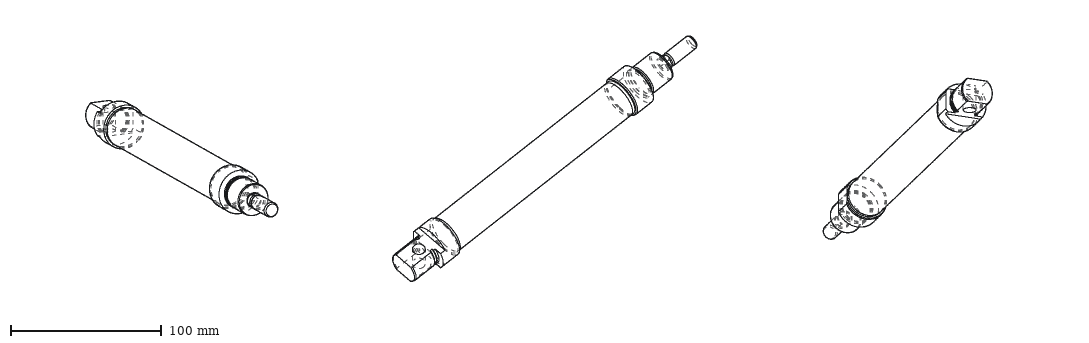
import cadquery as cq

TOTAL_LENGTH = 265.0
REAR_CAP_FACE = 22.0
REAR_CAP_BACK = 37.0
BARREL_START = 39.2
BARREL_END = 197.2
FRONT_CAP_BACK = 199.3
FRONT_CAP_FACE = 215.0
NOSE_END = 237.0
LIP_END = 238.0

BARREL_DIAMETER = 26.8
BARREL_RADIUS = BARREL_DIAMETER / 2
CAP_DIAMETER = 30.0
CAP_RADIUS = CAP_DIAMETER / 2
OVERALL_WIDTH = 28.5
CAP_FLAT_Y = OVERALL_WIDTH - CAP_RADIUS

CHAMFER_LENGTH = 1.0
CHAMFER_DEPTH = 0.4

NECK_DIAMETER = 22.0
NECK_RADIUS = NECK_DIAMETER / 2
UNDERCUT_DIAMETER = 20.5
UNDERCUT_RADIUS = UNDERCUT_DIAMETER / 2
UNDERCUT_OFFSET = 1.5
UNDERCUT_WIDTH = 1.5

EYE_THICKNESS = 16.5
EYE_LENGTH = 26.0
EYE_HOLE_DIAMETER = 8.5
EYE_HOLE_X = 14.0

ROD_RADIUS = 5.0
ROD_TIP_RADIUS = 4.2
ROD_TIP_LENGTH = 1.3
GROOVE_BOTTOM_RADIUS = 4.5
GROOVE_START = 241.5
GROOVE_BOTTOM = 242.7
GROOVE_END = 243.8
WRENCH_WIDTH = 9.0


def turned(profile):
    """Revolve a list of (x, radius) points about the X axis, closed along the axis."""
    start_x = profile[0][0]
    end_x = profile[-1][0]
    outline = [(start_x, 0), *profile, (end_x, 0)]
    return cq.Workplane("XY").polyline(outline).close().revolve(360, (0, 0, 0), (1, 0, 0))


def block(start_x, end_x, low_y, high_y, low_z, high_z):
    """A box given by its limits along each axis."""
    size = (end_x - start_x, high_y - low_y, high_z - low_z)
    return cq.Workplane("XY").box(*size, centered=False).translate((start_x, low_y, low_z))


def slab_cut(body, start_x, end_x, thickness):
    """Cut two flats facing +Z and -Z so that the given thickness remains."""
    half = thickness / 2
    reach = CAP_DIAMETER
    upper = block(start_x, end_x, -reach, reach, half, reach)
    lower = block(start_x, end_x, -reach, reach, -reach, -half)
    return body.cut(upper).cut(lower)


def neck_profile(cap_face, free_end):
    """Points of a threaded neck, from the cap face to its free end."""
    away = 1 if free_end > cap_face else -1
    near_side = cap_face + away * UNDERCUT_OFFSET
    far_side = near_side + away * UNDERCUT_WIDTH
    cone_length = NECK_RADIUS - UNDERCUT_RADIUS
    return [
        (cap_face, NECK_RADIUS),
        (near_side, NECK_RADIUS),
        (near_side, UNDERCUT_RADIUS),
        (far_side, UNDERCUT_RADIUS),
        (far_side + away * cone_length, NECK_RADIUS),
        (free_end - away * CHAMFER_LENGTH, NECK_RADIUS),
        (free_end, NECK_RADIUS - CHAMFER_DEPTH),
    ]


def cut_side_flat(body, start_x, end_x):
    """Cut the flat on the +Y side of a cap."""
    return body.cut(block(start_x, end_x, CAP_FLAT_Y, CAP_DIAMETER, -CAP_DIAMETER, CAP_DIAMETER))


def make_rear_cap():
    """Cap with a flat-sided eye at the back and a short spigot against the barrel."""
    neck = neck_profile(REAR_CAP_FACE, 0)
    cap = [
        (REAR_CAP_FACE, CAP_RADIUS),
        (REAR_CAP_BACK, CAP_RADIUS),
        (REAR_CAP_BACK, BARREL_RADIUS),
        (BARREL_START, BARREL_RADIUS),
    ]
    body = turned([*reversed(neck), *cap])
    body = cut_side_flat(body, REAR_CAP_FACE, REAR_CAP_BACK)
    body = slab_cut(body, 0, EYE_LENGTH, EYE_THICKNESS)
    pin_hole = (
        cq.Workplane("XY")
        .center(EYE_HOLE_X, 0)
        .circle(EYE_HOLE_DIAMETER / 2)
        .extrude(EYE_THICKNESS, both=True)
    )
    return body.cut(pin_hole)


def make_barrel():
    """Plain round barrel between the spigots of the caps."""
    return turned([(BARREL_START, BARREL_RADIUS), (BARREL_END, BARREL_RADIUS)])


def make_front_cap():
    """Cap with a short spigot against the barrel, a threaded nose and a lip meeting the rod."""
    cap = [
        (BARREL_END, BARREL_RADIUS),
        (FRONT_CAP_BACK, BARREL_RADIUS),
        (FRONT_CAP_BACK, CAP_RADIUS - CHAMFER_DEPTH),
        (FRONT_CAP_BACK + CHAMFER_LENGTH, CAP_RADIUS),
        (FRONT_CAP_FACE, CAP_RADIUS),
    ]
    neck = neck_profile(FRONT_CAP_FACE, NOSE_END)
    lip = [(NOSE_END, ROD_RADIUS), (LIP_END, ROD_RADIUS)]
    body = turned([*cap, *neck, *lip])
    return cut_side_flat(body, FRONT_CAP_BACK, FRONT_CAP_FACE)


def make_rod():
    """Rod end with wrench flats, a V-shaped groove and a threaded tip."""
    body = turned([
        (LIP_END, ROD_RADIUS),
        (GROOVE_START, ROD_RADIUS),
        (GROOVE_BOTTOM, GROOVE_BOTTOM_RADIUS),
        (GROOVE_END, ROD_RADIUS),
        (TOTAL_LENGTH - ROD_TIP_LENGTH, ROD_RADIUS),
        (TOTAL_LENGTH, ROD_TIP_RADIUS),
    ])
    return slab_cut(body, LIP_END, GROOVE_BOTTOM, WRENCH_WIDTH)


rear_cap = make_rear_cap()
barrel = make_barrel()
front_cap = make_front_cap()
rod = make_rod()

result = cq.Compound.makeCompound([rear_cap.val(), barrel.val(), front_cap.val(), rod.val()])